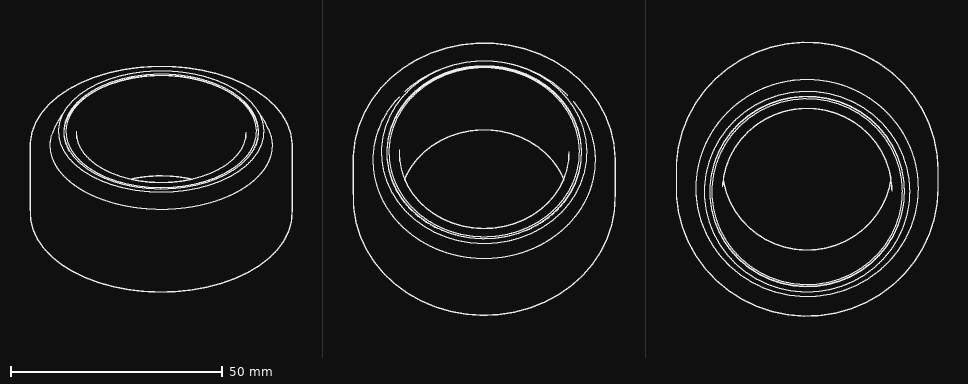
import cadquery as cq
import math


RING_RADIUS = 31.0
RING_WIDTH = 21.8
RING_FILLET = 1.0

INNER_WIDTH = 27.95
BALL_RADIUS = 28.0

SLEEVE_RADIUS = 23.0
BORE_RADIUS = 20.0
BORE_FILLET = 0.55
SLEEVE_CHAMFER = 0.5


def cylinder(radius, width):
    """Solid cylinder centred on the origin, axis along Z."""
    return cq.Workplane("XY").cylinder(width, radius)


def make_outer_ring():
    """Ring with a spherical seat and rounded rims on both end faces."""
    seat = cq.Workplane("XY").sphere(BALL_RADIUS)
    ring = cylinder(RING_RADIUS, RING_WIDTH).cut(seat)
    return ring.faces("|Z").edges().fillet(RING_FILLET)


def make_ball():
    """Sphere truncated at both ends, bored through to hold the sleeve."""
    ball_face_radius = math.sqrt(BALL_RADIUS**2 - (INNER_WIDTH / 2) ** 2)
    half_profile = (
        cq.Workplane("XZ")
        .moveTo(SLEEVE_RADIUS, -INNER_WIDTH / 2)
        .lineTo(ball_face_radius, -INNER_WIDTH / 2)
        .threePointArc((BALL_RADIUS, 0), (ball_face_radius, INNER_WIDTH / 2))
        .lineTo(SLEEVE_RADIUS, INNER_WIDTH / 2)
        .close()
    )
    return half_profile.revolve(360, (0, 0, 0), (0, 1, 0))


def make_sleeve():
    """Tube with chamfered outer edges and rounded bore edges."""
    body = cylinder(SLEEVE_RADIUS, INNER_WIDTH).faces("|Z").edges().chamfer(SLEEVE_CHAMFER)
    sleeve = body.cut(cylinder(BORE_RADIUS, INNER_WIDTH))
    bore_edges = sleeve.faces("|Z").edges(cq.selectors.RadiusNthSelector(0))
    return bore_edges.fillet(BORE_FILLET)


outer_ring = make_outer_ring()
ball = make_ball()
sleeve = make_sleeve()

result = cq.Compound.makeCompound(
    [*outer_ring.solids().vals(), *ball.solids().vals(), *sleeve.solids().vals()]
)